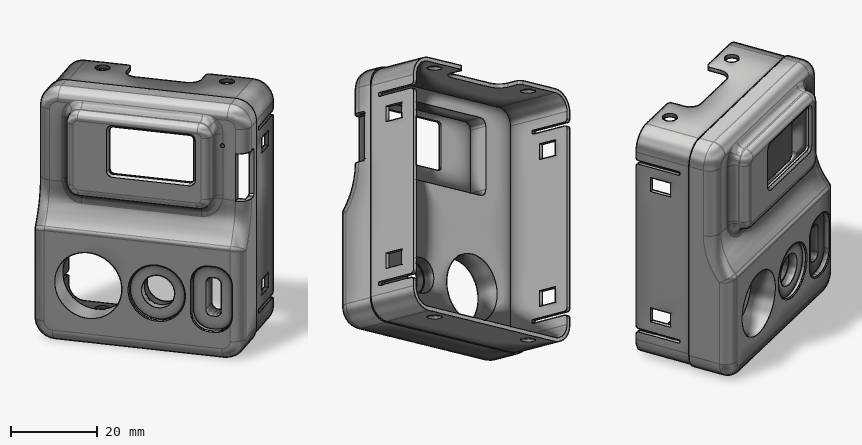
import cadquery as cq
import math


width = 50.8
height = 60.8
depth = 25.0
wall = 1.2
cavity_floor_y = 6.3
corner_radius = 5.0
edge_radius = 3.0

skirt_start = 11.0
skirt_inset = 0.25

upper_face_y = 4.2
sweep_radius = 15.0
sweep_start_z = 7.9
brow_radius = 1.5

housing_width = 34.9
housing_bottom_z = 5.9
housing_top_z = 26.9
housing_corner_radius = 3.0
housing_edge_radius = 2.0
housing_base_radius = 2.0

window_left_x = -6.9
window_right_x = 13.5
window_bottom_z = 12.45
window_top_z = 24.15
window_corner_radius = 1.0
window_bevel = 0.55

pinhole_diameter = 0.9
pinhole_x = 19.35
pinhole_z = 21.05

port_z = -15.45
port_recess_bevel = 0.25
button_x = -11.8
button_diameter = 16.2
jack_x = 4.75
jack_hole_diameter = 7.95
jack_recess_diameter = 13.85
jack_recess_depth = 1.05
jack_bore_diameter = 8.5
jack_bore_front_y = 3.2
usb_x = 18.0
usb_hole_width = 3.7
usb_hole_height = 9.5
usb_hole_radius = 1.45
usb_recess_width = 10.15
usb_recess_height = 16.25
usb_recess_radius = 4.5
usb_recess_depth = 1.5

notch_inner_x = width / 2 - edge_radius
notch_bottom_z = 7.65
notch_top_z = 19.4
notch_back_y = 9.1
notch_floor_bevel = 0.4

slit_z = 22.55
slit_width = 0.9
slit_length = 11.55
slit_mouth_radius = 0.8
slit_end_radius = 0.35
latch_z = 17.5
latch_height = 3.7
latch_depth = 5.15
latch_back_gap = 3.9

screw_x = 15.0
screw_back_gap = 3.45
screw_diameter = 3.4
cable_width = 18.1
cable_depth = 6.9
cable_corner_radius = 3.0
cable_mouth_radius = 1.05

margin = 0.05


def box(x0, x1, y0, y1, z0, z1):
    """Axis-aligned block between the given limits."""
    block = cq.Workplane("XY").box(x1 - x0, y1 - y0, z1 - z0, centered=False)
    return block.translate((x0, y0, z0))


def rounded_plate(size_x, size_z, radius, y0, y1, x=0, z=0):
    """Plate in the XZ plane with rounded corners, from y0 back to y1."""
    plate = box(x - size_x / 2, x + size_x / 2, y0, y1, z - size_z / 2, z + size_z / 2)
    return plate.edges("|Y").fillet(radius)


def cylinder(diameter, y0, y1, x, z):
    """Round bar along Y from y0 back to y1."""
    return cq.Workplane("XZ", origin=(x, y0, z)).circle(diameter / 2).extrude(-(y1 - y0))


def front_body():
    """Round-cornered block with the hollow sweep across its front and rounded front edges."""
    centre_y = upper_face_y - sweep_radius
    end_angle = math.acos(-centre_y / sweep_radius)

    def on_sweep(angle):
        return (centre_y + sweep_radius * math.cos(angle), sweep_start_z - sweep_radius * math.sin(angle))

    brow_y, brow_z = on_sweep(end_angle)
    profile = (
        cq.Workplane("YZ")
        .moveTo(skirt_start, height / 2)
        .lineTo(upper_face_y, height / 2)
        .lineTo(upper_face_y, sweep_start_z)
        .threePointArc(on_sweep(end_angle / 2), (brow_y, brow_z))
        .lineTo(0, -height / 2)
        .lineTo(skirt_start, -height / 2)
        .close()
        .extrude(width / 2, both=True)
    )
    body = profile.intersect(rounded_plate(width, height, corner_radius, 0, skirt_start))
    brow = cq.selectors.NearestToPointSelector((0, brow_y, brow_z))
    body = body.edges(brow).fillet(brow_radius)
    return body.faces("<Y").edges("<Z").fillet(edge_radius)


def display_housing(inset, back_y):
    """Raised block of the display, shrunk by inset on every outer side."""
    return rounded_plate(
        housing_width - 2 * inset,
        housing_top_z - housing_bottom_z - 2 * inset,
        housing_corner_radius - inset,
        inset,
        back_y,
        z=(housing_top_z + housing_bottom_z) / 2,
    )


def housing_edges(y0, y1):
    """Selector for the edges of the display housing that lie between y0 and y1."""
    half = housing_width / 2 + margin
    return cq.selectors.BoxSelector(
        (-half, y0 - margin, housing_bottom_z - margin),
        (half, y1 + margin, housing_top_z + margin),
    )


def outer_shape():
    body = front_body().union(display_housing(0, skirt_start))
    body = body.edges(housing_edges(upper_face_y / 2, upper_face_y)).fillet(housing_base_radius)
    body = body.edges(housing_edges(0, 0)).fillet(housing_edge_radius)
    skirt = rounded_plate(
        width - 2 * skirt_inset,
        height - 2 * skirt_inset,
        corner_radius,
        skirt_start,
        depth,
    )
    return body.union(skirt)


def cavity():
    """Flat-floored hollow open at the back, with a pocket reaching forward into the display housing."""
    main = rounded_plate(width - 2 * wall, height - 2 * wall, corner_radius - wall, cavity_floor_y, depth)
    return main.union(display_housing(wall, depth))


def rim_bevel(plate, bevel):
    """Bevel round an opening's rim, from a plate of the rim's size centred on the front face."""
    return plate.faces(">Y").chamfer(bevel)


def display_window():
    span_x = window_right_x - window_left_x
    span_z = window_top_z - window_bottom_z
    centre_x = (window_right_x + window_left_x) / 2
    centre_z = (window_top_z + window_bottom_z) / 2
    opening = rounded_plate(span_x, span_z, window_corner_radius, 0, 2 * wall, centre_x, centre_z)
    rim = rounded_plate(
        span_x + 2 * window_bevel,
        span_z + 2 * window_bevel,
        window_corner_radius + window_bevel,
        -window_bevel,
        window_bevel,
        centre_x,
        centre_z,
    )
    return opening.union(rim_bevel(rim, window_bevel))


def jack_port():
    """Through hole with a bevelled front recess and a wider bore from behind."""
    hole = cylinder(jack_hole_diameter, 0, depth, jack_x, port_z)
    bore = cylinder(jack_bore_diameter, jack_bore_front_y, depth, jack_x, port_z)
    recess_diameter = jack_recess_diameter - 2 * port_recess_bevel
    recess = cylinder(recess_diameter, 0, jack_recess_depth, jack_x, port_z)
    rim = cylinder(jack_recess_diameter, -port_recess_bevel, port_recess_bevel, jack_x, port_z)
    return hole.union(bore).union(recess).union(rim_bevel(rim, port_recess_bevel))


def usb_port():
    """Oblong through hole in a bevelled front recess."""
    hole = rounded_plate(usb_hole_width, usb_hole_height, usb_hole_radius, 0, depth, usb_x, port_z)
    recess = rounded_plate(
        usb_recess_width - 2 * port_recess_bevel,
        usb_recess_height - 2 * port_recess_bevel,
        usb_recess_radius - port_recess_bevel,
        0,
        usb_recess_depth,
        usb_x,
        port_z,
    )
    rim = rounded_plate(
        usb_recess_width,
        usb_recess_height,
        usb_recess_radius,
        -port_recess_bevel,
        port_recess_bevel,
        usb_x,
        port_z,
    )
    return hole.union(recess).union(rim_bevel(rim, port_recess_bevel))


def card_notch():
    notch = box(notch_inner_x, width, 0, notch_back_y, notch_bottom_z, notch_top_z)
    return notch.faces(">Y").edges("|X").chamfer(notch_floor_bevel)


def side_cuts():
    """Spring slits and latch windows, cut through both side walls."""
    slit_front_y = depth - slit_length
    latch_back_y = depth - latch_back_gap
    cuts = cq.Workplane("XY")
    for side in (-1, 1):
        z = side * slit_z
        slit = box(-width, width, slit_front_y, depth, z - slit_width / 2, z + slit_width / 2)
        slit = slit.faces("<Y").edges("|X").fillet(slit_end_radius)
        mouth_half = slit_width / 2 + slit_mouth_radius
        mouth = (
            cq.Workplane("YZ")
            .moveTo(depth - slit_mouth_radius, z - slit_width / 2)
            .radiusArc((depth, z - mouth_half), slit_mouth_radius)
            .lineTo(depth, z + mouth_half)
            .radiusArc((depth - slit_mouth_radius, z + slit_width / 2), slit_mouth_radius)
            .close()
            .extrude(width, both=True)
        )
        latch_bottom_z = side * latch_z - latch_height / 2
        latch = box(
            -width,
            width,
            latch_back_y - latch_depth,
            latch_back_y,
            latch_bottom_z,
            latch_bottom_z + latch_height,
        )
        cuts = cuts.add(slit).add(mouth).add(latch)
    return cuts.combine()


def screw_holes():
    """Holes through the top and bottom walls."""
    spots = [(-screw_x, depth - screw_back_gap), (screw_x, depth - screw_back_gap)]
    return cq.Workplane("XY").pushPoints(spots).circle(screw_diameter / 2).extrude(height, both=True)


def cable_cutout():
    """Open-backed cut-out in the top wall, with rounded inner corners and a flared mouth."""
    half = cable_width / 2
    front_y = depth - cable_depth
    mouth_half = half + cable_mouth_radius
    mouth_y = depth - cable_mouth_radius
    return (
        cq.Workplane("XY")
        .moveTo(-mouth_half, depth)
        .radiusArc((-half, mouth_y), cable_mouth_radius)
        .lineTo(-half, front_y + cable_corner_radius)
        .radiusArc((-half + cable_corner_radius, front_y), -cable_corner_radius)
        .lineTo(half - cable_corner_radius, front_y)
        .radiusArc((half, front_y + cable_corner_radius), -cable_corner_radius)
        .lineTo(half, mouth_y)
        .radiusArc((mouth_half, depth), cable_mouth_radius)
        .close()
        .extrude(height)
    )


result = outer_shape().cut(cavity())
result = result.cut(display_window()).cut(card_notch())
result = result.cut(cylinder(button_diameter, 0, depth, button_x, port_z))
result = result.cut(jack_port()).cut(usb_port())
result = result.cut(cylinder(pinhole_diameter, 0, skirt_start, pinhole_x, pinhole_z))
result = result.cut(side_cuts()).cut(screw_holes()).cut(cable_cutout())